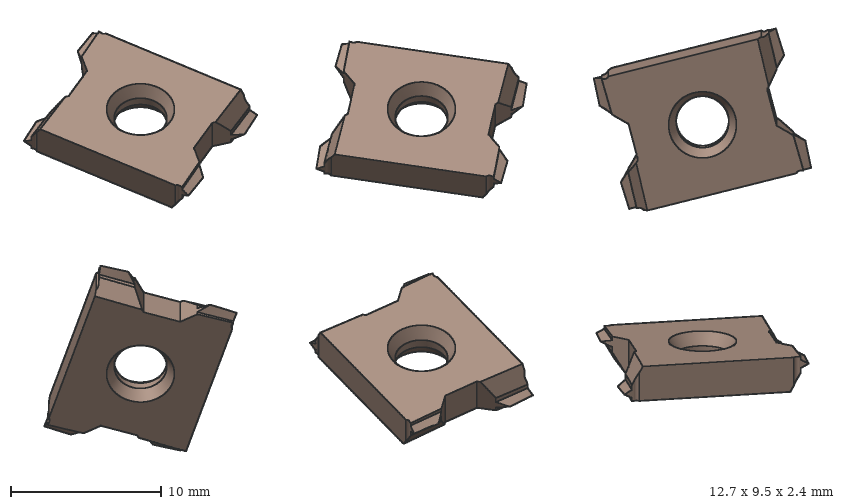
import cadquery as cq
import math

length = 12.69
width = 9.5
thickness = 2.4
half_width = width / 2
half_thickness = thickness / 2

waist_half_length = 4.76
waist_half_width = 1.27
corner_root = 3.81
outline_reach = 6.47

tip_height = 0.51
outer_tip = 6.25
outer_base = 5.74
outer_tooth_half = 0.29
inner_tip = length / 2
inner_base = 5.67
inner_tooth_half = 0.247
tip_y = waist_half_width + inner_tip - waist_half_length
base_y = waist_half_width + inner_base - waist_half_length

bevel_start = 1.13
bevel_angle = 30.0

relief_start_x = 5.25
relief_middle = (5.4, 4.65)
relief_end = (5.6, 4.664)

hole_radius = 1.75
countersink_radius = 2.26
countersink_angle = 60.0


def along_corner(outer, inner, inner_y, y):
    """Value at y of a straight taper from the outer side to inner_y."""
    return outer + (inner - outer) * (half_width - y) / (half_width - inner_y)


def corner_section(y):
    """Section of the corner block at distance y from the centre line."""
    base = along_corner(outer_base, inner_base, base_y, y)
    tip = along_corner(outer_tip, inner_tip, tip_y, y)
    tooth_half = along_corner(outer_tooth_half, inner_tooth_half, base_y, y)
    bevel_run = (thickness - bevel_start) * math.tan(math.radians(bevel_angle))
    tip_z = tip_height - half_thickness
    points = [
        (corner_root, -half_thickness),
        (base, -half_thickness),
        (base, tip_z - tooth_half),
        (tip, tip_z),
        (base, tip_z + tooth_half),
        (base, bevel_start - half_thickness),
        (base - bevel_run, half_thickness),
        (corner_root, half_thickness),
    ]
    return cq.Wire.makePolygon([cq.Vector(x, y, z) for x, z in points], close=True)


def corner_outline():
    """Plan shape of one corner: sloping waist side, end flank and relief."""
    flank_slope = (half_width - relief_end[1]) / (outer_tip - relief_end[0])
    flank_y = relief_end[1] + flank_slope * (outline_reach - relief_end[0])
    slope_y = waist_half_width + outline_reach - waist_half_length
    return (
        cq.Workplane("XY", origin=(0, 0, -half_thickness))
        .moveTo(corner_root, waist_half_width)
        .lineTo(waist_half_length, waist_half_width)
        .lineTo(outline_reach, slope_y)
        .lineTo(outline_reach, flank_y)
        .lineTo(*relief_end)
        .threePointArc(relief_middle, (relief_start_x, half_width))
        .lineTo(corner_root, half_width)
        .close()
        .extrude(thickness)
    )


def toothed_corner():
    """Corner at +X, +Y with its tooth near the lower face."""
    section_margin = 0.13
    sections = [
        corner_section(waist_half_width),
        corner_section(half_width + section_margin),
    ]
    block = cq.Solid.makeLoft(sections, True)
    return corner_outline().intersect(cq.Workplane(obj=block))


def hole_cutter():
    """Double-countersunk hole as one solid of revolution about Z."""
    depth = (countersink_radius - hole_radius) / math.tan(math.radians(countersink_angle / 2))
    return (
        cq.Workplane("XZ")
        .moveTo(0, -half_thickness)
        .lineTo(countersink_radius, -half_thickness)
        .lineTo(hole_radius, depth - half_thickness)
        .lineTo(hole_radius, half_thickness - depth)
        .lineTo(countersink_radius, half_thickness)
        .lineTo(0, half_thickness)
        .close()
        .revolve(360, (0, 0, 0), (0, 1, 0))
    )


result = cq.Workplane("XY").box(2 * waist_half_length, width, thickness)

corner = toothed_corner()
flipped_corner = corner.rotate((0, 0, 0), (1, 0, 0), 180)
for placed_corner in (corner, flipped_corner):
    for turn in (0, 180):
        result = result.union(placed_corner.rotate((0, 0, 0), (0, 0, 1), turn))

result = result.cut(hole_cutter())